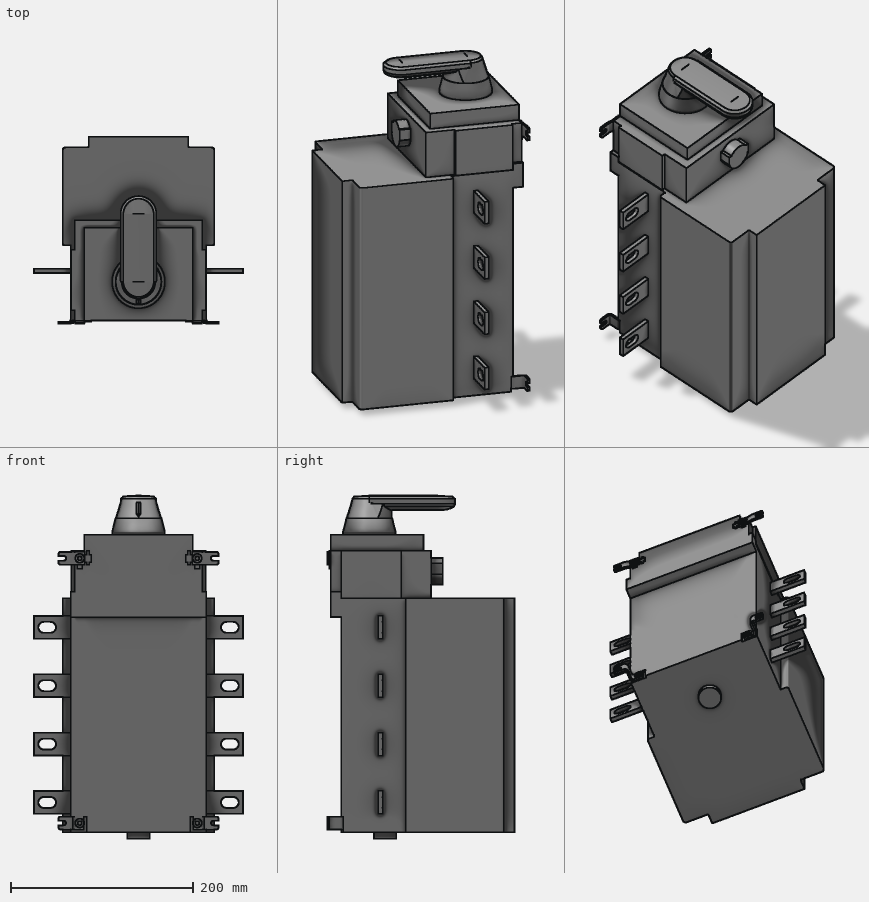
import cadquery as cq


housing_top = 257.3
rear_half_width = 83.5
rear_front_y = 40.0
shoulder_y = 148.0
rib_half_width = 54.7
back_y = 159.5
shoulder_radius = 3.5
rear_corner_radius = 2.3
rib_root_radius = 1.0
front_half_width = 74.5
front_y = -31.0

cover_front_y = -42.5
cover_bottom = 236.5
cover_top = 309.3
cover_side_half_width = 74.0
cover_rear_half_width = 70.0
cover_step_y = 35.0
cover_back_y = 68.0
cover_notch_bottom = 264.5
lid_half_width = 59.5
lid_back_y = 59.5
lid_top = 327.0

lower_shaft_radius = 12.5
lower_shaft_y = 17.5
lower_shaft_length = 7.0
rear_boss_radius = 14.7
rear_boss_z = 286.5
rear_boss_length = 13.0
boss_key_half_width = 15
boss_key_z = (283.3, 295.7)

terminal_span = 229.7
terminal_height = 25.3
terminal_thickness = 5.0
terminal_y = 12.0
terminal_count = 4
terminal_pitch = 64
terminal_first_z = 33.0
terminal_slot_x = 100.5
terminal_slot_length = 19.2
terminal_slot_height = 11.7

collar_height = 3.0
hub_base_radius = 29.0
hub_line_z = 345.0
hub_ledge_radius = 25.3
hub_shoulder_radius = 18.5
hub_shoulder_z = 366.3
hub_rim_radius = 16.5
hub_rim_z = 369.0
handle_top = 370.0
neck_radius = 25.0
neck_half_width = 23.0
neck_top_half_width = 20.0
grip_half_width = 19.5
grip_bottom = 354.0
grip_end_y = 74.5
grip_flat_half_width = 5.5
grip_belly_half_width = 18.5
grip_belly_top = 358.0
grip_belly_radius = 22.5
grip_side_bottom = 361.0
pointer_half_width = 2.5
pointer_top = 362.5
pointer_shoulder = 350.8
pointer_tip = 346.5
pointer_floor_y = -18.0
pointer_wall_y = -20.0

bracket_height = 14.5
bracket_thickness = 2.3
bracket_front_y = -46.0
bracket_tip_x = 88.0
bracket_corner_radius = 2.3
fork_slot_x = 79.5
fork_slot_width = 5.0
screw_x = 64.5
screw_radius = 5.0
screw_head = 1.0
socket_radius = 2.3
upper_bracket_z = 301.0
lower_bracket_z = 10.0
lower_bend_radius = 2.0
lower_plate_x = 60.0
lower_arm_x = 72.5
seat_x = 57.0
seat_depth = 2.3
upper_plate_x = 59.0
upper_jog_x = 70.0
upper_jog_width = 5.3

clip_thickness = 1.0
clip_lobe_x = (52.0, 59.5)
clip_lobe_half_height = 4.0
clip_hook_x = (54.5, 56.5)
clip_foot_half_width = 2.5
clip_foot_bottom = 289.5


def box(x, y, z):
    """Box between the given (low, high) limits along each axis."""
    size = [high - low for low, high in (x, y, z)]
    return cq.Workplane("XY").box(*size, centered=False).translate((x[0], y[0], z[0]))


def wide_box(half_width, y, z):
    return box((-half_width, half_width), y, z)


def both_sides(shape):
    return shape.union(shape.mirror("YZ"))


def make_housing():
    rear = wide_box(rear_half_width, (rear_front_y, shoulder_y), (0, housing_top))
    rear = rear.edges("|Z and <Y").fillet(rear_corner_radius)
    rear = rear.edges("|Z and >Y").fillet(shoulder_radius)
    rib = wide_box(rib_half_width, (rear_front_y + rear_corner_radius, back_y), (0, housing_top))
    rear = rear.union(rib)
    rib_roots = cq.selectors.BoxSelector(
        (-rib_half_width - rib_root_radius, shoulder_y - rib_root_radius, 0),
        (rib_half_width + rib_root_radius, shoulder_y + rib_root_radius, housing_top),
    )
    rear = rear.edges("|Z").edges(rib_roots).fillet(rib_root_radius)
    front = wide_box(front_half_width, (front_y, lid_back_y), (0, housing_top))
    return rear.union(front)


def make_cover():
    front = wide_box(front_half_width, (cover_front_y, front_y), (cover_bottom, cover_notch_bottom))
    notched = wide_box(cover_rear_half_width, (cover_front_y, cover_back_y), (cover_bottom, cover_top))
    middle = wide_box(cover_side_half_width, (front_y, cover_step_y), (cover_bottom, cover_top))
    lid = wide_box(lid_half_width, (cover_front_y, lid_back_y), (cover_top, lid_top))
    return front.union(notched).union(middle).union(lid)


def make_shafts():
    lower = (
        cq.Workplane("XY").center(0, lower_shaft_y).circle(lower_shaft_radius).extrude(-lower_shaft_length)
    )
    boss = (
        cq.Workplane("XZ", origin=(0, cover_back_y, rear_boss_z))
        .circle(rear_boss_radius)
        .extrude(-rear_boss_length)
    )
    key_y = (cover_back_y, cover_back_y + rear_boss_length)
    key = wide_box(boss_key_half_width, key_y, boss_key_z)
    return lower.union(boss).union(key)


def make_terminals():
    blade_y = (terminal_y - terminal_thickness / 2, terminal_y + terminal_thickness / 2)
    blade = wide_box(terminal_span / 2, blade_y, (-terminal_height / 2, terminal_height / 2))
    slots = (
        cq.Workplane("XZ", origin=(0, terminal_y, 0))
        .pushPoints([(-terminal_slot_x, 0), (terminal_slot_x, 0)])
        .slot2D(terminal_slot_length, terminal_slot_height)
        .extrude(terminal_thickness, both=True)
    )
    blade = blade.cut(slots)
    heights = [terminal_first_z + row * terminal_pitch for row in range(terminal_count)]
    return [blade.translate((0, 0, height)) for height in heights]


def close_with_dome(profile):
    """Finish a half section with the rim and the low dome, down the Z axis to its start."""
    rise = handle_top - hub_rim_z
    dome_radius = (hub_rim_radius**2 + rise**2) / (2 * rise)
    return profile.lineTo(hub_rim_radius, hub_rim_z).radiusArc((0, handle_top), -dome_radius).close()


def grip_profile():
    """Right half of the grip section, on the XZ plane."""
    profile = (
        cq.Workplane("XZ")
        .moveTo(0, grip_bottom)
        .lineTo(grip_flat_half_width, grip_bottom)
        .radiusArc((grip_belly_half_width, grip_belly_top), -grip_belly_radius)
        .lineTo(grip_half_width, grip_side_bottom)
        .lineTo(grip_half_width, hub_shoulder_z)
    )
    return close_with_dome(profile)


def make_neck():
    """Straight-backed neck from the hub ledge up into the grip, with leaning sides."""
    sides = (
        cq.Workplane("XZ")
        .polyline([
            (-neck_half_width, hub_line_z),
            (neck_half_width, hub_line_z),
            (neck_top_half_width, grip_side_bottom),
            (-neck_top_half_width, grip_side_bottom),
        ])
        .close()
        .extrude(-neck_radius)
    )
    neck = cq.Workplane("XY", origin=(0, 0, hub_line_z)).circle(neck_radius)
    return neck.extrude(grip_side_bottom - hub_line_z).intersect(sides)


def make_pointer():
    """Arrow-shaped recess in the front of the hub, with a V-shaped floor."""
    outline = (
        cq.Workplane("XZ")
        .polyline([
            (-pointer_half_width, pointer_top),
            (pointer_half_width, pointer_top),
            (pointer_half_width, pointer_shoulder),
            (0, pointer_tip),
            (-pointer_half_width, pointer_shoulder),
        ])
        .close()
        .extrude(hub_base_radius)
    )
    groove = (
        cq.Workplane("XY", origin=(0, 0, pointer_tip))
        .polyline([
            (0, pointer_floor_y),
            (pointer_half_width, pointer_wall_y),
            (pointer_half_width, -hub_base_radius),
            (-pointer_half_width, -hub_base_radius),
            (-pointer_half_width, pointer_wall_y),
        ])
        .close()
        .extrude(pointer_top - pointer_tip)
    )
    return outline.intersect(groove)


def make_handle():
    hub_profile = (
        cq.Workplane("XZ")
        .moveTo(0, lid_top)
        .lineTo(hub_base_radius, lid_top)
        .lineTo(hub_base_radius, lid_top + collar_height)
        .lineTo(hub_ledge_radius, hub_line_z)
        .lineTo(neck_radius, hub_line_z)
        .lineTo(hub_shoulder_radius, hub_shoulder_z)
    )
    hub = close_with_dome(hub_profile).revolve(360, (0, 0, 0), (0, 1, 0))
    grip = both_sides(grip_profile().extrude(-grip_end_y))
    grip_end = grip_profile().revolve(360, (0, 0, 0), (0, 1, 0)).translate((0, grip_end_y, 0))
    return hub.union(make_neck()).union(grip).union(grip_end).cut(make_pointer())


def fork(shape, center_z):
    """Round the outer corners of a bracket strip and open its end slot."""
    shape = shape.edges("|Y and >X").fillet(bracket_corner_radius)
    slot_length = 2 * (bracket_tip_x - fork_slot_x)
    slot = (
        cq.Workplane("XZ", origin=(bracket_tip_x, bracket_front_y, center_z))
        .slot2D(slot_length, fork_slot_width)
        .extrude(bracket_thickness * 2, both=True)
    )
    return shape.cut(slot)


def make_screw(seat_y, center_z):
    return (
        cq.Workplane("XZ", origin=(screw_x, seat_y, center_z))
        .circle(screw_radius)
        .circle(socket_radius)
        .extrude(screw_head)
    )


def make_lower_bracket():
    plate_back_y = front_y + seat_depth
    fork_back_y = bracket_front_y + bracket_thickness
    arm_outer_x = lower_arm_x + bracket_thickness
    inner = lower_bend_radius
    outer = inner + bracket_thickness
    strip = (
        cq.Workplane("XY", origin=(0, 0, lower_bracket_z - bracket_height / 2))
        .moveTo(lower_plate_x, plate_back_y)
        .lineTo(arm_outer_x - outer, plate_back_y)
        .radiusArc((arm_outer_x, plate_back_y - outer), outer)
        .lineTo(arm_outer_x, fork_back_y + inner)
        .radiusArc((arm_outer_x + inner, fork_back_y), -inner)
        .lineTo(bracket_tip_x, fork_back_y)
        .lineTo(bracket_tip_x, bracket_front_y)
        .lineTo(lower_arm_x + outer, bracket_front_y)
        .radiusArc((lower_arm_x, bracket_front_y + outer), outer)
        .lineTo(lower_arm_x, plate_back_y - outer)
        .radiusArc((lower_arm_x - inner, plate_back_y - bracket_thickness), -inner)
        .lineTo(lower_plate_x, plate_back_y - bracket_thickness)
        .close()
        .extrude(bracket_height)
    )
    bracket = fork(strip, lower_bracket_z)
    return bracket.union(make_screw(plate_back_y - bracket_thickness, lower_bracket_z))


def make_upper_bracket():
    plate_front_y = cover_front_y - bracket_thickness
    fork_back_y = bracket_front_y + bracket_thickness
    jog_end_x = upper_jog_x + upper_jog_width
    strip = (
        cq.Workplane("XY", origin=(0, 0, upper_bracket_z - bracket_height / 2))
        .polyline([
            (upper_plate_x, cover_front_y),
            (upper_jog_x, cover_front_y),
            (jog_end_x, fork_back_y),
            (bracket_tip_x, fork_back_y),
            (bracket_tip_x, bracket_front_y),
            (jog_end_x, bracket_front_y),
            (upper_jog_x, plate_front_y),
            (upper_plate_x, plate_front_y),
        ])
        .close()
        .extrude(bracket_height)
    )
    bracket = fork(strip, upper_bracket_z)
    return bracket.union(make_screw(plate_front_y, upper_bracket_z))


def make_clip():
    clip_y = (cover_front_y - clip_thickness, cover_front_y)
    hook_bottom = upper_bracket_z - bracket_height / 2
    lobe_z = (upper_bracket_z - clip_lobe_half_height, upper_bracket_z + clip_lobe_half_height)
    foot_x = (screw_x - clip_foot_half_width, screw_x + clip_foot_half_width)
    hook = box(clip_hook_x, clip_y, (hook_bottom, cover_top))
    lobe = box(clip_lobe_x, clip_y, lobe_z)
    foot = box(foot_x, clip_y, (clip_foot_bottom, upper_bracket_z))
    return hook.union(lobe).union(foot)


seat = box(
    (seat_x, front_half_width),
    (front_y, front_y + seat_depth),
    (0, lower_bracket_z + bracket_height / 2),
)

result = make_housing().cut(both_sides(seat))
result = result.union(make_cover()).union(make_shafts()).union(make_handle())
for terminal in make_terminals():
    result = result.union(terminal)
for bracket in (make_lower_bracket(), make_upper_bracket(), make_clip()):
    result = result.union(both_sides(bracket))